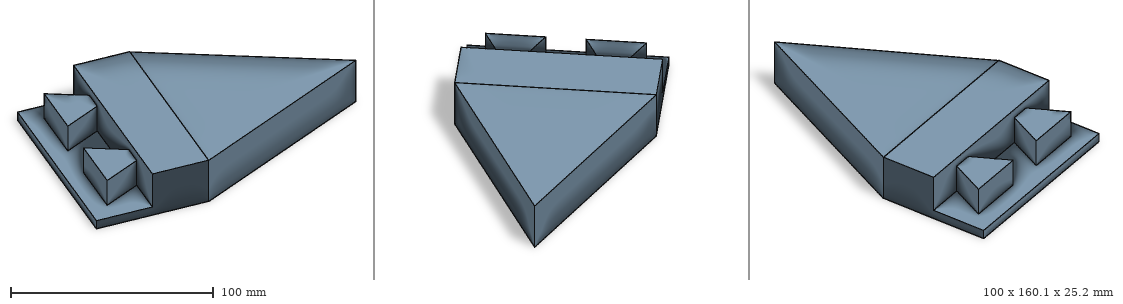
import cadquery as cq

width = 100.0
thickness = 25.0
plate_thickness = 5.0
plate_length = 30.0
block_length = 30.07
nose_length = 100.0
nose_drop = 0.16

tooth_root_width = 10.0
tooth_front_width = 30.0
tooth_length = 20.0
tooth_height = 15.0
tooth_centers = (-width / 4, width / 4)

half_width = width / 2
block_back = plate_length + block_length


def prism(outline, bottom, height):
    """Closed XY outline extruded upward from the given Z level."""
    return cq.Workplane("XY").workplane(offset=bottom).polyline(outline).close().extrude(height)


def base_plate():
    """Thin plate under the teeth and the block."""
    outline = [
        (-half_width, 0),
        (half_width, 0),
        (half_width, block_back),
        (-half_width, block_back),
    ]
    return prism(outline, 0, plate_thickness)


def block():
    """Full-thickness rectangular block behind the plate's exposed front strip."""
    outline = [
        (-half_width, plate_length),
        (half_width, plate_length),
        (half_width, block_back),
        (-half_width, block_back),
    ]
    return prism(outline, 0, thickness)


def nose():
    """Triangular nose tapering to a sharp vertical edge at +Y."""
    outline = [
        (-half_width, block_back),
        (half_width, block_back),
        (0, block_back + nose_length),
    ]
    return prism(outline, -nose_drop, thickness)


def tooth(center_x):
    """Trapezoidal tooth on the plate, widening away from the block."""
    front_y = plate_length - tooth_length
    outline = [
        (center_x - tooth_front_width / 2, front_y),
        (center_x + tooth_front_width / 2, front_y),
        (center_x + tooth_root_width / 2, plate_length),
        (center_x - tooth_root_width / 2, plate_length),
    ]
    return prism(outline, plate_thickness, tooth_height)


result = base_plate().union(block()).union(nose())
for center in tooth_centers:
    result = result.union(tooth(center))